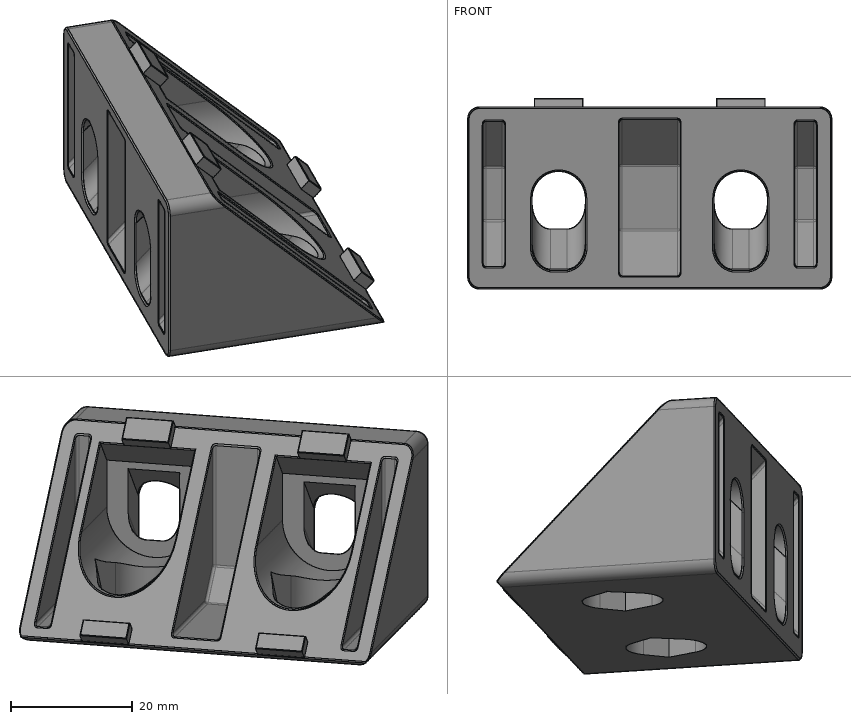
import cadquery as cq
import math

width = 60.0
height = 30.0
top_depth = 8.0
slope_sum = top_depth + height
heel_diff = 36.6
heel_y = (slope_sum + heel_diff) / 2
edge_radius = 2.0
front_chamfer = 0.25
slope_chamfer = 0.2

tab_width = 8.0
tab_height = 2.05
upper_tab_length = 4.2
lower_tab_length = 3.0
tab_chamfer = 0.1

bolt_x = 15.0
bolt_z = height / 2
front_wall = 6.85
head_radius = 8.05
slot_radius = 4.4
slot_bottom = 3.05
slot_corner = 3.0
slot_rim = 0.25

base_hole_front = 12.7
base_hole_back = 26.15
base_corner_x = 6.3
base_corner_y = 20.5
base_radius = 4.55
ramp_back = 23.05
ramp_radius = 4.4

front_pocket_depth = 7.6
centre_front_width = 10.1
centre_front_bottom = 2.1
centre_front_top = 28.0
side_front_x = 25.7
side_front_width = 3.6
side_front_bottom = 3.6
side_front_top = 27.7
pocket_rim = 0.1

back_pocket_front = 9.95
back_pocket_end = 35.8
centre_back_width = 8.1
centre_back_corner = 5.05
side_back_x = 26.15
side_back_width = 2.6
side_back_corner = 0.7

pocket_fillet = 0.5
margin = 0.6
reach = 2 * width
root2 = math.sqrt(2)


def yz_prism(points, x_width):
    """Prism of the given (y, z) outline, centred on x = 0."""
    outline = cq.Workplane("YZ").polyline(points).close()
    return outline.extrude(x_width / 2, both=True)


def tip_profile(plane, base, tip, half_base, radius):
    """Outline on a straight base whose sides run tangent into a round tip along local y."""
    side = 1 if tip > base else -1
    centre = tip - side * radius
    drop = side * (base - centre)
    angle = math.atan2(drop, half_base) + math.acos(radius / math.hypot(half_base, drop))
    touch_x = radius * math.cos(angle)
    touch_y = centre + side * radius * math.sin(angle)
    return (
        cq.Workplane(plane)
        .moveTo(half_base, base)
        .lineTo(touch_x, touch_y)
        .threePointArc((0, tip), (-touch_x, touch_y))
        .lineTo(-half_base, base)
        .close()
    )


def make_body():
    wedge = yz_prism(
        [(0, 0), (heel_diff, 0), (heel_y, slope_sum - heel_y), (top_depth, height), (0, height)],
        width,
    )
    block = (
        cq.Workplane("XY")
        .box(width, slope_sum, height, centered=(True, False, False))
        .edges("|Y").fillet(edge_radius)
        .faces("<Y").chamfer(front_chamfer)
    )
    return wedge.intersect(block)


def make_tab(start_y, length):
    """Tab whose foot runs down the slope from start_y over the given length."""
    run = length / root2
    rise = tab_height / root2
    start_z = slope_sum - start_y
    tab = yz_prism(
        [
            (start_y, start_z),
            (start_y + rise, start_z + rise),
            (start_y + run + rise, start_z - run + rise),
            (start_y + run, start_z - run),
        ],
        tab_width,
    )
    return tab.faces(">(0,1,1)").chamfer(tab_chamfer)


def make_head_space():
    """Room for a bolt head: round below, square above, open to the slope."""
    bore = cq.Workplane("XZ", origin=(0, front_wall, bolt_z)).circle(head_radius).extrude(-reach)
    roof_z = bolt_z + head_radius
    upper = yz_prism(
        [
            (front_wall, bolt_z),
            (front_wall, roof_z),
            (front_wall + reach, roof_z + reach),
            (front_wall + reach, bolt_z),
        ],
        2 * head_radius,
    )
    return bore.union(upper)


def make_slot_rim():
    """Chamfer around the front slot, narrowing at 45 degrees from the front face inward."""
    half = slot_radius + slot_rim
    bottom = slot_bottom - slot_rim
    corner_x = slot_corner + slot_rim
    corner_z = slot_corner * root2 + slot_rim
    mid_x = half - corner_x + corner_x / root2
    mid_z = bottom + corner_z - corner_z / root2
    return (
        cq.Workplane("XZ")
        .moveTo(half, bolt_z)
        .threePointArc((0, bolt_z + half), (-half, bolt_z))
        .lineTo(-half, bottom + corner_z)
        .threePointArc((-mid_x, mid_z), (corner_x - half, bottom))
        .lineTo(half - corner_x, bottom)
        .threePointArc((mid_x, mid_z), (half, bottom + corner_z))
        .close()
        .extrude(-slot_rim, taper=45)
    )


def make_front_slot():
    """Bolt hole along Y, with a ramp below it that rises square to the slope."""
    hole = cq.Workplane("XZ", origin=(0, 0, bolt_z)).circle(slot_radius).extrude(-front_wall - margin)
    ramp_plane = cq.Plane(origin=(0, 0, slot_bottom), xDir=(-1, 0, 0), normal=(0, 1, 1))
    ramp_height = (bolt_z - slot_bottom) / root2
    ramp = (
        cq.Workplane(ramp_plane)
        .center(0, ramp_height / 2)
        .rect(2 * slot_radius, ramp_height)
        .extrude(reach, both=True)
        .faces("<(0,-1,1)").edges("|(0,1,1)").fillet(slot_corner)
    )
    wall = (
        cq.Workplane("XY", origin=(0, -margin, 0))
        .box(width, front_wall + 2 * margin, height, centered=(True, False, False))
    )
    return hole.union(ramp.intersect(wall)).union(make_slot_rim())


def make_base_hole():
    """Upright opening through the base, with a ramp at 45 degrees behind it."""
    below = cq.Plane(origin=(0, 0, -margin), xDir=(1, 0, 0), normal=(0, 0, 1))
    depth = bolt_z + margin
    back = tip_profile(below, base_corner_y, base_hole_back, base_corner_x, base_radius).extrude(depth)
    front = tip_profile(below, base_corner_y, base_hole_front, base_corner_x, base_radius).extrude(depth)

    slanted = cq.Plane(origin=(0, 0, 0), xDir=(1, 0, 0), normal=(0, 1, 1))
    corner_z = bolt_z - math.sqrt(head_radius**2 - base_corner_x**2)
    ramp_base = (base_corner_y - corner_z) / root2
    ramp = tip_profile(slanted, ramp_base, ramp_back / root2, base_corner_x, ramp_radius).extrude(reach)
    behind = (
        cq.Workplane("XY", origin=(0, base_corner_y, 0))
        .box(width, reach, bolt_z, centered=(True, False, False))
    )
    return back.union(front).union(ramp.intersect(behind))


def make_front_pocket(x_width, bottom, top):
    """Pocket in the front face with floor and roof closing in at 45 degrees."""
    depth = front_pocket_depth
    pocket = yz_prism([(0, bottom), (depth, bottom + depth), (depth, top - depth), (0, top)], x_width)
    return pocket.faces("not <Y").edges("not <Y").fillet(pocket_fillet)


def make_back_pocket(x_width, corner):
    """Pocket opening on the slope: upright front wall, flat floor, sloping corner between."""
    floor_z = slope_sum - back_pocket_end
    pocket = yz_prism(
        [
            (back_pocket_front, floor_z + corner),
            (back_pocket_front + corner, floor_z),
            (back_pocket_end, floor_z),
            (back_pocket_front, slope_sum - back_pocket_front),
        ],
        x_width,
    )
    return pocket.faces("not >(0,1,1)").edges("not >(0,1,1)").fillet(pocket_fillet)


result = make_body()

side_front_pocket = make_front_pocket(side_front_width, side_front_bottom, side_front_top)
result = result.cut(make_front_pocket(centre_front_width, centre_front_bottom, centre_front_top))
for side in (-1, 1):
    result = result.cut(side_front_pocket.translate((side * side_front_x, 0, 0)))
for mouth in result.faces("<Y").val().innerWires():
    result = result.newObject(mouth.Edges()).chamfer(pocket_rim)

side_back_pocket = make_back_pocket(side_back_width, side_back_corner)
result = result.cut(make_back_pocket(centre_back_width, centre_back_corner))
for side in (-1, 1):
    result = result.cut(side_back_pocket.translate((side * side_back_x, 0, 0)))

bolt_cutters = (make_head_space(), make_front_slot(), make_base_hole())
for side in (-1, 1):
    for cutter in bolt_cutters:
        result = result.cut(cutter.translate((side * bolt_x, 0, 0)))
result = result.faces(">(0,1,1)").chamfer(slope_chamfer)

upper_tab = make_tab(top_depth, upper_tab_length)
lower_tab = make_tab(heel_y - lower_tab_length / root2, lower_tab_length)
for side in (-1, 1):
    for tab in (upper_tab, lower_tab):
        result = result.union(tab.translate((side * bolt_x, 0, 0)))